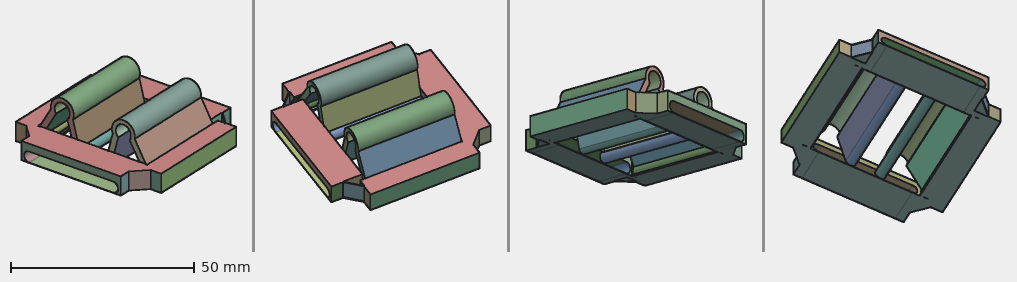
import cadquery as cq
import math

SPAN = 49.8
FRAME_HEIGHT = 6.0
BAR_HALF_LENGTH = 17.05
BEVEL = 4.25
WINDOW_HALF_X = 18.68
CLIP_LENGTH = 30.1
WINDOW_HALF_Y = CLIP_LENGTH / 2

SLOT_DIAMETER = 3.4
SLOT_LENGTH = 32.15
FLOOR = 0.15
FOOT_Z = FLOOR + SLOT_DIAMETER / 2
SEAT_RADIUS = SLOT_DIAMETER / 2
LEDGE_TOP = 0.45

POCKET_EDGE = 16.85
POCKET_WALL = 0.25

TOTAL_HEIGHT = 17.05
FOOT_CLEARANCE = 0.1
FOOT_RADIUS = SEAT_RADIUS - FOOT_CLEARANCE
HEAD_RADIUS = 3.95
HEAD_BORE_RADIUS = 2.6
HEAD_X = -10.45
HEAD_Z = TOTAL_HEIGHT - HEAD_RADIUS
LEG_THICKNESS = 2.0
OUTER_FOOT_X = -WINDOW_HALF_X
INNER_FOOT_X = -4.6
OUTER_LEAN = math.radians(30)
INNER_LEAN = math.radians(-15)


def extrude_y(sketch, y_min, y_max):
    """Extrude an XZ sketch between two Y positions."""
    return sketch.extrude(y_max - y_min).translate((0, y_max, 0))


def prism(points, y_min, y_max):
    """Prism along Y from a closed outline of (x, z) points."""
    return extrude_y(cq.Workplane("XZ").polyline(points).close(), y_min, y_max)


def cylinder(x, z, radius, y_min, y_max):
    """Cylinder along Y about the point (x, z)."""
    return extrude_y(cq.Workplane("XZ").center(x, z).circle(radius), y_min, y_max)


def mirrored_pair(shape):
    """The shape and its mirror image across the YZ plane."""
    return shape, shape.mirror("YZ")


def leg_face_x(foot_x, lean, z, radius, offset=0.0):
    """X, at height z, of a leg's -X face (tangent to a foot circle), shifted by offset along its normal."""
    return foot_x + (offset - radius) / math.cos(lean) + (z - FOOT_Z) * math.tan(lean)


def make_blank():
    """Square plate with notched and bevelled corners."""
    blank = cq.Workplane("XY").rect(SPAN, 2 * BAR_HALF_LENGTH).extrude(FRAME_HEIGHT)
    blank = blank.union(cq.Workplane("XY").rect(2 * BAR_HALF_LENGTH, SPAN).extrude(FRAME_HEIGHT))
    bevelled_side = 2 * (BAR_HALF_LENGTH + BEVEL)
    core = cq.Workplane("XY").rect(bevelled_side, bevelled_side).extrude(FRAME_HEIGHT)
    return blank.union(core.edges("|Z").chamfer(BEVEL))


def make_window():
    """Through window that widens above the two low ledges beside the seats."""
    window = cq.Workplane("XY").rect(2 * POCKET_EDGE, 2 * WINDOW_HALF_Y).extrude(FRAME_HEIGHT)
    upper = cq.Workplane("XY").workplane(offset=LEDGE_TOP).rect(2 * WINDOW_HALF_X, 2 * WINDOW_HALF_Y)
    return window.union(upper.extrude(FRAME_HEIGHT - LEDGE_TOP))


def make_strap_slot():
    """Rounded flat slot through both Y bars."""
    sketch = cq.Workplane("XZ").center(0, FOOT_Z).slot2D(SLOT_LENGTH, SLOT_DIAMETER)
    return extrude_y(sketch, -SPAN / 2, SPAN / 2)


def make_seat():
    """Round seat of the -X outer foot, with the sloping relief for its leg."""
    seat = cylinder(OUTER_FOOT_X, FOOT_Z, SEAT_RADIUS, -WINDOW_HALF_Y, POCKET_EDGE)
    tangent_x = OUTER_FOOT_X - SEAT_RADIUS * math.cos(OUTER_LEAN)
    tangent_z = FOOT_Z + SEAT_RADIUS * math.sin(OUTER_LEAN)
    relief_top = FOOT_Z + SEAT_RADIUS / math.sin(OUTER_LEAN)
    relief = prism(
        [(OUTER_FOOT_X, FOOT_Z), (tangent_x, tangent_z), (OUTER_FOOT_X, relief_top)],
        -WINDOW_HALF_Y,
        POCKET_EDGE,
    )
    return seat.union(relief)


def make_corner_pocket():
    """Open pocket of the -X, +Y corner, leaving a thin wall behind the bevel."""
    bevel_sum = 2 * BAR_HALF_LENGTH + BEVEL - POCKET_WALL * math.sqrt(2)
    far_edge = bevel_sum - POCKET_EDGE
    triangle = cq.Workplane("XY").workplane(offset=FLOOR).polyline(
        [(-POCKET_EDGE, POCKET_EDGE), (-far_edge, POCKET_EDGE), (-POCKET_EDGE, far_edge)]
    ).close().extrude(FRAME_HEIGHT - FLOOR)
    passage = cq.Workplane("XY").box(
        WINDOW_HALF_X - POCKET_EDGE,
        POCKET_EDGE - WINDOW_HALF_Y,
        FRAME_HEIGHT - LEDGE_TOP,
        centered=False,
    ).translate((-WINDOW_HALF_X, WINDOW_HALF_Y, LEDGE_TOP))
    return triangle.union(passage)


def make_frame():
    frame = make_blank().cut(make_window()).cut(make_strap_slot())
    for feature in (make_seat(), make_corner_pocket()):
        for side in mirrored_pair(feature):
            frame = frame.cut(side)
    return frame


def make_leg(foot_x, lean, y_end):
    """Sloping slab from the foot's centre plane, square to the leg, up to head height."""
    near_z = FOOT_Z + FOOT_RADIUS * math.sin(lean)
    far_z = FOOT_Z + (FOOT_RADIUS - LEG_THICKNESS) * math.sin(lean)
    points = [
        (leg_face_x(foot_x, lean, near_z, FOOT_RADIUS), near_z),
        (leg_face_x(foot_x, lean, HEAD_Z, FOOT_RADIUS), HEAD_Z),
        (leg_face_x(foot_x, lean, HEAD_Z, FOOT_RADIUS, LEG_THICKNESS), HEAD_Z),
        (leg_face_x(foot_x, lean, far_z, FOOT_RADIUS, LEG_THICKNESS), far_z),
    ]
    return prism(points, -y_end, y_end)


def make_clip():
    """The -X clip."""
    y_end = CLIP_LENGTH / 2
    clip = cylinder(HEAD_X, HEAD_Z, HEAD_RADIUS, -y_end, y_end)
    for foot_x, lean in ((OUTER_FOOT_X, OUTER_LEAN), (INNER_FOOT_X, INNER_LEAN)):
        clip = clip.union(make_leg(foot_x, lean, y_end))
        clip = clip.union(cylinder(foot_x, FOOT_Z, FOOT_RADIUS, -y_end, y_end))
    clip = clip.cut(cylinder(HEAD_X, HEAD_Z, HEAD_BORE_RADIUS, -y_end, y_end))

    throat = prism(
        [
            (leg_face_x(OUTER_FOOT_X, OUTER_LEAN, FRAME_HEIGHT, FOOT_RADIUS, LEG_THICKNESS), FRAME_HEIGHT),
            (leg_face_x(OUTER_FOOT_X, OUTER_LEAN, HEAD_Z, FOOT_RADIUS, LEG_THICKNESS), HEAD_Z),
            (leg_face_x(INNER_FOOT_X, INNER_LEAN, HEAD_Z, FOOT_RADIUS), HEAD_Z),
            (leg_face_x(INNER_FOOT_X, INNER_LEAN, FRAME_HEIGHT, FOOT_RADIUS), FRAME_HEIGHT),
        ],
        -y_end,
        y_end,
    )
    return clip.cut(throat)


frame = make_frame()
clips = mirrored_pair(make_clip())
result = cq.Compound.makeCompound([frame.solids().val(), *[clip.solids().val() for clip in clips]])